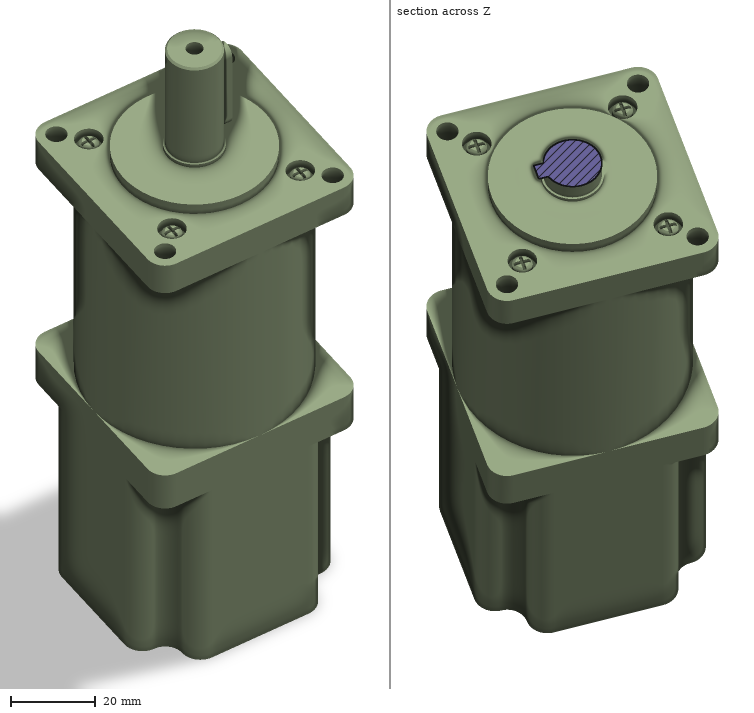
import cadquery as cq
import math

width = 57.0
corner_radius = 5.0

motor_top = 55.0
rear_flange_top = 66.0
front_flange_bottom = 126.0
front_flange_top = 135.0
pilot_top = 138.0
collar_top = 139.0
shaft_top = 170.0

motor_bead_radius = 5.1
motor_face_inset = 15.0

pilot_diameter = 40.0
collar_diameter = 15.0
shaft_diameter = 14.0
shaft_chamfer = 0.5

shaft_hole_diameter = 4.2
shaft_hole_depth = 10.2
drill_tip_angle = 118.0

key_width = 5.0
key_length = 25.0
key_height = 5.0
key_outer_y = 9.0
key_end_gap = 3.0

mount_hole_diameter = 5.3
mount_hole_spacing = 47.1

screw_spacing = 36.0
counterbore_diameter = 7.0
counterbore_depth = 3.0
head_diameter = 5.0
head_recess = 0.5
head_chamfer = 0.8
cross_length = 4.0
cross_width = 0.8
cross_depth = 1.4


def cylinder(diameter, bottom, top):
    return cq.Workplane("XY").workplane(offset=bottom).circle(diameter / 2).extrude(top - bottom)


def square_pattern(spacing, height):
    return cq.Workplane("XY").workplane(offset=height).rect(spacing, spacing, forConstruction=True).vertices()


def flange(bottom, top):
    plate = cq.Workplane("XY").workplane(offset=bottom).rect(width, width).extrude(top - bottom)
    return plate.edges("|Z").fillet(corner_radius)


def corner_cutter():
    """Region removed from the (-X, -Y) corner: a concave arc between two convex ones."""
    bead = motor_bead_radius
    scallop_radius = motor_face_inset - 2 * bead
    diagonal = math.sqrt(0.5)
    bead_near = bead * (1 - diagonal)
    bead_far = motor_face_inset - bead * diagonal
    scallop_middle = bead + scallop_radius * diagonal
    scallop_end = bead + scallop_radius
    return (
        cq.Workplane("XY", origin=(-width / 2, -width / 2, 0))
        .moveTo(motor_face_inset, 0)
        .threePointArc((bead_far, bead_near), (scallop_end, bead))
        .threePointArc((scallop_middle, scallop_middle), (bead, scallop_end))
        .threePointArc((bead_near, bead_far), (0, motor_face_inset))
        .lineTo(0, 0)
        .close()
        .extrude(motor_top)
    )


def motor():
    body = cq.Workplane("XY").rect(width, width).extrude(motor_top)
    cutter = corner_cutter()
    for quarter_turn in range(4):
        body = body.cut(cutter.rotate((0, 0, 0), (0, 0, 1), 90 * quarter_turn))
    return body


def front_flange():
    plate = flange(front_flange_bottom, front_flange_top)
    thickness = front_flange_top - front_flange_bottom
    mount_holes = square_pattern(mount_hole_spacing, front_flange_bottom)
    plate = plate.cut(mount_holes.circle(mount_hole_diameter / 2).extrude(thickness))
    counterbore_floor = front_flange_top - counterbore_depth
    counterbores = square_pattern(screw_spacing, counterbore_floor)
    return plate.cut(counterbores.circle(counterbore_diameter / 2).extrude(counterbore_depth))


def screw_heads():
    floor = front_flange_top - counterbore_depth
    head_top = front_flange_top - head_recess
    heads = square_pattern(screw_spacing, floor).circle(head_diameter / 2).extrude(head_top - floor)
    heads = heads.faces(">Z").edges().chamfer(head_chamfer)
    for size_x, size_y in [(cross_length, cross_width), (cross_width, cross_length)]:
        slots = square_pattern(screw_spacing, head_top).rect(size_x, size_y).extrude(-cross_depth)
        heads = heads.cut(slots)
    return heads


def shaft_hole():
    radius = shaft_hole_diameter / 2
    tip_length = radius / math.tan(math.radians(drill_tip_angle / 2))
    floor = shaft_top - shaft_hole_depth
    return (
        cq.Workplane("XZ")
        .moveTo(0, shaft_top)
        .lineTo(radius, shaft_top)
        .lineTo(radius, floor)
        .lineTo(0, floor - tip_length)
        .close()
        .revolve(360, (0, 0, 0), (0, 1, 0))
    )


def shaft():
    body = cylinder(shaft_diameter, pilot_top, shaft_top).faces(">Z").edges().chamfer(shaft_chamfer)
    key_centre_z = shaft_top - key_end_gap - key_length / 2
    key = (
        cq.Workplane("XZ", origin=(0, key_outer_y, key_centre_z))
        .slot2D(key_length, key_width, 90)
        .extrude(key_height)
    )
    return body.union(key).cut(shaft_hole())


result = (
    motor()
    .union(flange(motor_top, rear_flange_top))
    .union(cylinder(width, rear_flange_top, front_flange_bottom))
    .union(front_flange())
    .union(screw_heads())
    .union(cylinder(pilot_diameter, front_flange_top, pilot_top))
    .union(cylinder(collar_diameter, pilot_top, collar_top))
    .union(shaft())
)